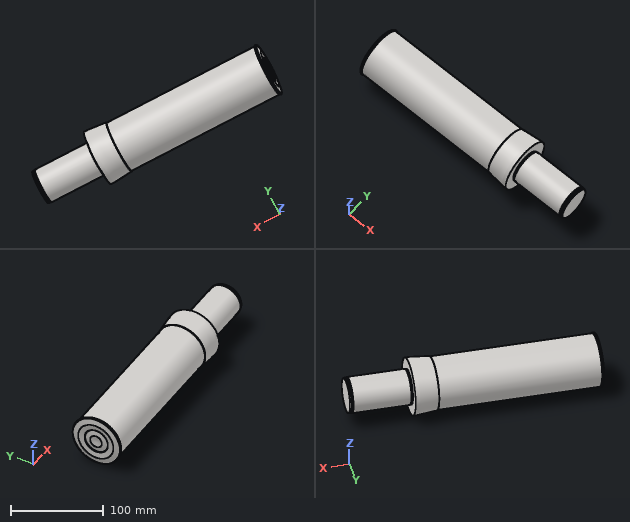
import cadquery as cq

total_length = 282.0
collar_face_x = 211.8
collar_width = 5.0
flare_length = 22.0
bead_start_x = 1.0
bead_peak_x = 2.0
bead_peak_width = 0.8
bead_end_x = 3.7

barrel_diameter = 59.0
collar_diameter = 64.0
bead_diameter = 60.5
flare_lip = 0.5

end_face_diameter = 55.8
crest_diameter = 44.0
valley_diameter = 29.3
inner_crest_diameter = 14.7
ring_depth = 1.0
valley_step = 0.42
valley_floor_diameter = 28.2

rod_diameter = 40.0
rod_end_diameter = 39.5
neck_length = 1.5
tip_length = 3.5
step_taper = 0.5
tip_chamfer_length = 1.7
tip_chamfer_depth = 0.5


def revolve_about_x(profile):
    """Solid of revolution from (x, radius) points that start and end on the X axis."""
    return cq.Workplane("XY").polyline(profile).close().revolve(360, (0, 0, 0), (1, 0, 0))


def make_housing():
    """Barrel with a beaded, ringed closed end and a flared collar."""
    barrel_radius = barrel_diameter / 2
    bead_radius = bead_diameter / 2
    collar_radius = collar_diameter / 2
    collar_start_x = collar_face_x - collar_width
    flare_start_x = collar_start_x - flare_length
    return revolve_about_x([
        (ring_depth + valley_step, 0),
        (valley_step, inner_crest_diameter / 2),
        (ring_depth + valley_step, valley_floor_diameter / 2),
        (ring_depth, valley_diameter / 2),
        (0, crest_diameter / 2),
        (bead_start_x, end_face_diameter / 2),
        (bead_start_x, barrel_radius),
        (bead_peak_x, bead_radius),
        (bead_peak_x + bead_peak_width, bead_radius),
        (bead_end_x, barrel_radius),
        (flare_start_x, barrel_radius),
        (flare_start_x + flare_lip, barrel_radius + flare_lip),
        (collar_start_x, collar_radius),
        (collar_face_x, collar_radius),
        (collar_face_x, 0),
    ])


def make_rod():
    """Rod standing on the collar face, stepped down at both ends and chamfered at the tip."""
    rod_radius = rod_diameter / 2
    end_radius = rod_end_diameter / 2
    neck_end_x = collar_face_x + neck_length
    tip_start_x = total_length - tip_length
    return revolve_about_x([
        (collar_face_x, 0),
        (collar_face_x, end_radius),
        (neck_end_x, end_radius),
        (neck_end_x + step_taper, rod_radius),
        (tip_start_x - step_taper, rod_radius),
        (tip_start_x, end_radius),
        (total_length - tip_chamfer_length, end_radius),
        (total_length, end_radius - tip_chamfer_depth),
        (total_length, 0),
    ])


housing = make_housing()
rod = make_rod()
result = cq.Compound.makeCompound([housing.val(), rod.val()])